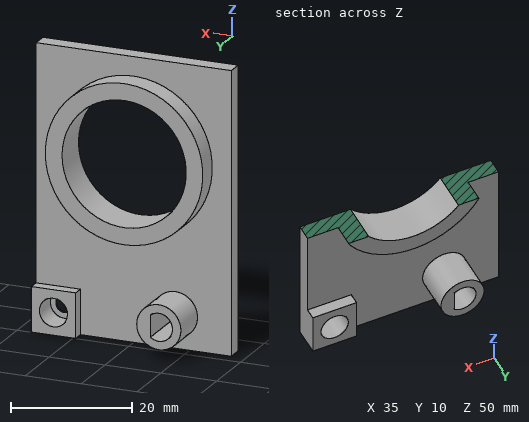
import cadquery as cq

plate_width = 35.0
plate_height = 50.0
plate_thickness = 3.0

ring_outer_diameter = 28.2
ring_bore_diameter = 22.2
ring_height = 4.0
ring_x = plate_width / 2
ring_z = plate_height - plate_width / 2

boss_diameter = 7.9
boss_height = 7.0
boss_x = 10.0
boss_z = 6.0
d_bore_diameter = 4.9
d_bore_flat_offset = 1.5

pad_size = 8.0
pad_height = 2.0
screw_hole_diameter = 3.0
counterbore_diameter = 5.0
screw_web_thickness = 0.4
pad_x = plate_width - pad_size / 2
pad_z = pad_size / 2


def box_along_y(width, depth, height, x, z, y=0.0):
    """Box centred on (x, z), running back from y."""
    box = cq.Workplane("XY").box(width, depth, height, centered=(True, False, True))
    return box.translate((x, y, z))


def cylinder_along_y(diameter, length, x, z, y=0.0):
    """Cylinder centred on (x, z), running back from y."""
    cylinder = cq.Workplane("XZ").circle(diameter / 2).extrude(-length)
    return cylinder.translate((x, y, z))


def d_bore(length):
    """Round bore with its +X side cut off by a vertical flat."""
    cylinder = cylinder_along_y(d_bore_diameter, length, boss_x, boss_z)
    flat_side_x = boss_x + d_bore_flat_offset + d_bore_diameter / 2
    flat_side = box_along_y(d_bore_diameter, length, d_bore_diameter, flat_side_x, boss_z)
    return cylinder.cut(flat_side)


plate = box_along_y(plate_width, plate_thickness, plate_height, plate_width / 2, plate_height / 2)
ring = cylinder_along_y(ring_outer_diameter, ring_height, ring_x, ring_z, plate_thickness)
boss = cylinder_along_y(boss_diameter, boss_height, boss_x, boss_z, plate_thickness)
pad = box_along_y(pad_size, pad_height, pad_size, pad_x, pad_z, plate_thickness)
body = plate.union(ring).union(boss).union(pad)

full_depth = plate_thickness + boss_height
body = body.cut(cylinder_along_y(ring_bore_diameter, full_depth, ring_x, ring_z))
body = body.cut(d_bore(full_depth))
body = body.cut(cylinder_along_y(screw_hole_diameter, full_depth, pad_x, pad_z))

counterbore_depth = plate_thickness + pad_height - screw_web_thickness
body = body.cut(cylinder_along_y(counterbore_diameter, counterbore_depth, pad_x, pad_z, screw_web_thickness))

result = body